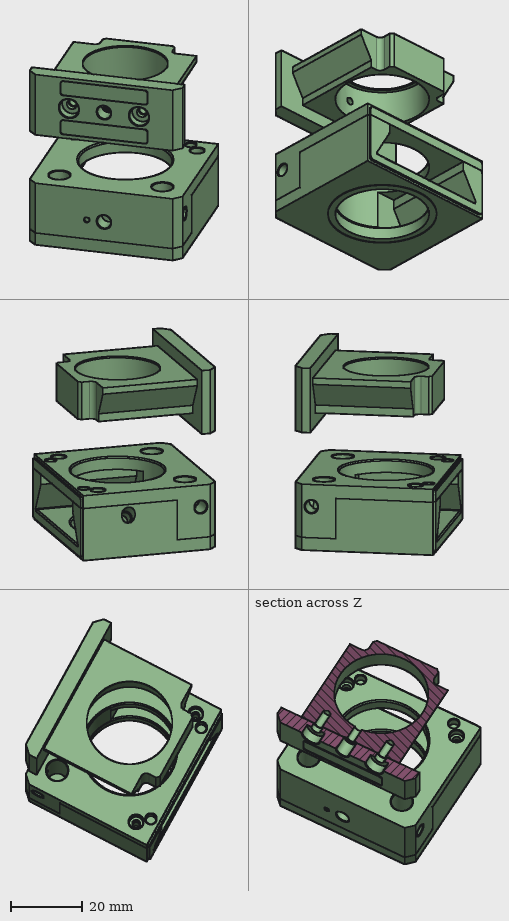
import cadquery as cq
import math

TOP = 26.3
BOTTOM = -26.3
WIDTH = 44.5
HALF_WIDTH = WIDTH / 2
FRONT_Y = -20.13
BORE_Y = 2.15
CORNER = 2.25
EDGE = 0.2
DRILL_POINT = 118.0

PLATE_THICK = 4.65
PLATE_HEIGHT = 18.6
PLATE_BACK_Y = FRONT_Y + PLATE_THICK
PLATE_Z = TOP - PLATE_HEIGHT / 2
LABEL_LENGTH = 25.35
LABEL_HEIGHT = 4.35
LABEL_DEPTH = 0.25
LABEL_RADIUS = 0.85
LABEL_OFFSET = 6.0
INSERT_SCREW_X = 10.2
INSERT_HEAD_D = 5.6
INSERT_HEAD_DEPTH = 2.95
INSERT_CLEAR_D = 2.85
INSERT_TAP_D = 2.25
INSERT_TAP_DEPTH = 4.75
KEY_D = 3.95
LOCK_MOUTH_D = 2.85
LOCK_D = 2.15

SLAB = 3.75
SLIDE_HEIGHT = 10.95
SLIDE_TOP = TOP - SLAB
SLIDE_BOTTOM = SLIDE_TOP - SLIDE_HEIGHT
SLIDE_HALF_WIDTH = 17.95
DOVETAIL_ANGLE = 30.0
WIDE_BAND = 1.85
FLANK_HEIGHT = 6.8
SLIDE_BACK_Y = 12.35
TAB_BACK_Y = 17.05
TAB_HALF_WIDTH = 10.5
TAB_CORNER = 0.85
TAB_ROOT_R = 1.6
OPTIC_LIP_D = 24.0
OPTIC_LIP_THICK = 0.45

HOLDER_TOP = -7.1
BOSS_HEIGHT = 0.2
BOSS_D = 30.5
HOLDER_BOTTOM = BOTTOM + BOSS_HEIGHT
HOLDER_BACK_Y = 19.5
LIP_BACK_Y = -FRONT_Y
LIP_HALF_WIDTH = 21.6
LIP_MARGIN = 0.8
LIP_TOP = HOLDER_TOP - LIP_MARGIN
LIP_BOTTOM = HOLDER_BOTTOM + LIP_MARGIN
LIP_RADIUS = 0.85
COVER_BOTTOM = HOLDER_TOP - SLAB
LEG_BOTTOM = -22.4
LEG_BACK_Y = -8.15
SLOT_LEAD = 0.4
BORE_D = 26.3
BORE_CHAMFER = 0.4
SLOT_CLEARANCE = 0.3
SLOT_BEVEL = 0.2

ROD_PITCH = 30.0
ROD_D = 6.0
ROD_DEPTH = HOLDER_TOP - LEG_BOTTOM
REAR_HOLE_D = 2.95
REAR_HOLE_Y = 17.0
REAR_HOLE_DEPTH = 2.65
JOIN_X = 17.75
JOIN_Y = 13.75
JOIN_HEAD_D = 3.95
JOIN_HEAD_DEPTH = 2.1
JOIN_CLEAR_D = 2.25
JOIN_TAP_D = 1.8
JOIN_TAP_DEPTH = 4.2
POST_Z = -16.65
POST_D = 3.95
POST_DEPTH = 4.75
INDEX_X = -5.05
INDEX_D = 1.6
INDEX_DEPTH = 0.5
ROD_LOCK_Y = -15.15
ROD_LOCK_Z = -13.45
ROD_LOCK_D = 3.6
ROD_LOCK_DEPTH = 6.85
CLAMP_Y = 6.2
CLAMP_Z = -13.9
CLAMP_D = 3.95
CLAMP_DEPTH = 3.35
CLAMP_TIP_D = 3.15
CLAMP_TIP_DEPTH = 6.3

X_AXIS = cq.Vector(1, 0, 0)
Y_AXIS = cq.Vector(0, 1, 0)
DOWN = cq.Vector(0, 0, -1)


def block(x_half, y_front, y_back, z_bottom, z_top):
    """Box centred on X = 0."""
    size = (2 * x_half, y_back - y_front, z_top - z_bottom)
    return cq.Workplane("XY").box(*size, centered=False).translate((-x_half, y_front, z_bottom))


def drill(mouth, direction, diameter, depth, pointed=False):
    """Cutter for a round hole, with an optional drill-point end."""
    radius = diameter / 2
    cutter = cq.Solid.makeCylinder(radius, depth, mouth, direction)
    if pointed:
        point = radius / math.tan(math.radians(DRILL_POINT / 2))
        cutter = cutter.fuse(cq.Solid.makeCone(radius, 0, point, mouth + direction * depth, direction))
    return cutter


def mouth_chamfer(mouth, direction, diameter, size=EDGE):
    """Cutter for a 45 degree chamfer round a hole's mouth."""
    return cq.Solid.makeCone(diameter / 2 + size, diameter / 2, size, mouth, direction)


def chamfered_hole(body, mouth, direction, diameter, depth, size=EDGE, pointed=False):
    body = body.cut(cq.Workplane(drill(mouth, direction, diameter, depth, pointed)))
    return body.cut(cq.Workplane(mouth_chamfer(mouth, direction, diameter, size)))


def plain_hole(body, mouth, direction, diameter, depth, pointed=False):
    return body.cut(cq.Workplane(drill(mouth, direction, diameter, depth, pointed)))


def make_label(side):
    """Inlay flush with the front plate, above (+1) or below (-1) its middle."""
    label = cq.Workplane("XY").box(LABEL_LENGTH, LABEL_DEPTH, LABEL_HEIGHT).edges("|Y").fillet(LABEL_RADIUS)
    return label.translate((0, FRONT_Y + LABEL_DEPTH / 2, PLATE_Z + side * LABEL_OFFSET))


def make_plate(labels):
    plate = block(HALF_WIDTH, FRONT_Y, PLATE_BACK_Y, TOP - PLATE_HEIGHT, TOP)
    plate = plate.edges("|Z and <Y").chamfer(CORNER)
    for label in labels:
        plate = plate.cut(label)
    for side in (-1, 1):
        mouth = cq.Vector(side * INSERT_SCREW_X, FRONT_Y, PLATE_Z)
        plate = chamfered_hole(plate, mouth, Y_AXIS, INSERT_HEAD_D, INSERT_HEAD_DEPTH)
        plate = plain_hole(plate, mouth, Y_AXIS, INSERT_CLEAR_D, PLATE_THICK)
    return chamfered_hole(plate, cq.Vector(0, FRONT_Y, PLATE_Z), Y_AXIS, KEY_D, PLATE_THICK)


def slide_block():
    """Slide before its flanks are cut: a slab whose rear end narrows to a tab."""
    x, tab = SLIDE_HALF_WIDTH, TAB_HALF_WIDTH
    points = [(-x, PLATE_BACK_Y), (x, PLATE_BACK_Y), (x, SLIDE_BACK_Y), (tab, SLIDE_BACK_Y)]
    points += [(tab, TAB_BACK_Y), (-tab, TAB_BACK_Y), (-tab, SLIDE_BACK_Y), (-x, SLIDE_BACK_Y)]
    plan = cq.Workplane("XY", origin=(0, 0, SLIDE_BOTTOM)).polyline(points).close()
    block_body = plan.extrude(SLIDE_HEIGHT)
    slide_middle_z = (SLIDE_TOP + SLIDE_BOTTOM) / 2
    for side in (-1, 1):
        root = cq.selectors.NearestToPointSelector((side * tab, SLIDE_BACK_Y, slide_middle_z))
        block_body = block_body.edges(root).fillet(TAB_ROOT_R)
    return block_body.edges("|Z and >Y").chamfer(TAB_CORNER)


def make_slide():
    slide = slide_block()
    flank_top = SLIDE_TOP - WIDE_BAND
    flank_bottom = flank_top - FLANK_HEIGHT
    narrow = SLIDE_HALF_WIDTH - FLANK_HEIGHT * math.tan(math.radians(DOVETAIL_ANGLE))
    right_side = [(narrow, SLIDE_BOTTOM), (narrow, flank_bottom), (SLIDE_HALF_WIDTH, flank_top)]
    right_side.append((SLIDE_HALF_WIDTH, SLIDE_TOP))
    left_side = [(-x, z) for x, z in reversed(right_side)]
    section = cq.Workplane("XZ", origin=(0, TAB_BACK_Y, 0)).polyline(right_side + left_side).close()
    slide = slide.intersect(section.extrude(TAB_BACK_Y - PLATE_BACK_Y))
    bore_mouth = cq.Vector(0, BORE_Y, SLIDE_TOP)
    slide = plain_hole(slide, bore_mouth, DOWN, OPTIC_LIP_D, SLIDE_HEIGHT)
    slide = plain_hole(slide, bore_mouth + DOWN * OPTIC_LIP_THICK, DOWN, BORE_D, SLIDE_HEIGHT)
    for side in (-1, 1):
        mouth = cq.Vector(side * INSERT_SCREW_X, PLATE_BACK_Y, PLATE_Z)
        slide = plain_hole(slide, mouth, Y_AXIS, INSERT_TAP_D, INSERT_TAP_DEPTH, pointed=True)
    mouth = cq.Vector(0, PLATE_BACK_Y, PLATE_Z)
    lock_chamfer = (LOCK_MOUTH_D - LOCK_D) / 2
    return chamfered_hole(slide, mouth, Y_AXIS, LOCK_D, BORE_Y - PLATE_BACK_Y, lock_chamfer)


def make_holder_blank():
    """Whole holder before it is split into cover and base: block, rear lip and boss."""
    blank = block(HALF_WIDTH, FRONT_Y, HOLDER_BACK_Y, HOLDER_BOTTOM, HOLDER_TOP)
    blank = blank.edges("|Z and <Y").chamfer(CORNER)
    lip = block(LIP_HALF_WIDTH, HOLDER_BACK_Y, LIP_BACK_Y, LIP_BOTTOM, LIP_TOP)
    blank = blank.union(lip.edges("|Y").fillet(LIP_RADIUS))
    boss = cq.Solid.makeCylinder(BOSS_D / 2, BOSS_HEIGHT, cq.Vector(0, BORE_Y, BOTTOM))
    blank = blank.union(cq.Workplane(boss))
    return plain_hole(blank, cq.Vector(0, BORE_Y, HOLDER_TOP), DOWN, BORE_D, HOLDER_TOP - BOTTOM)


def base_region():
    """Space under the cover and behind its front leg, plus the floor under both."""
    floor = block(HALF_WIDTH, FRONT_Y, LIP_BACK_Y, BOTTOM, LEG_BOTTOM)
    return floor.union(block(HALF_WIDTH, LEG_BACK_Y, LIP_BACK_Y, LEG_BOTTOM, COVER_BOTTOM))


def make_cover(blank):
    cover = blank.cut(base_region())
    bore_mouth = cq.Vector(0, BORE_Y, HOLDER_TOP)
    cover = cover.cut(cq.Workplane(mouth_chamfer(bore_mouth, DOWN, BORE_D, BORE_CHAMFER)))
    for side in (-1, 1):
        rod_x = side * ROD_PITCH / 2
        front_rod = cq.Vector(rod_x, BORE_Y - ROD_PITCH / 2, HOLDER_TOP)
        cover = chamfered_hole(cover, front_rod, DOWN, ROD_D, ROD_DEPTH)
        rear_hole = cq.Vector(rod_x, REAR_HOLE_Y, HOLDER_TOP)
        cover = chamfered_hole(cover, rear_hole, DOWN, REAR_HOLE_D, REAR_HOLE_DEPTH)
        join = cq.Vector(side * JOIN_X, JOIN_Y, HOLDER_TOP)
        cover = chamfered_hole(cover, join, DOWN, JOIN_HEAD_D, JOIN_HEAD_DEPTH)
        cover = plain_hole(cover, join, DOWN, JOIN_CLEAR_D, SLAB)
        rod_lock = cq.Vector(side * HALF_WIDTH, ROD_LOCK_Y, ROD_LOCK_Z)
        cover = chamfered_hole(cover, rod_lock, X_AXIS * -side, ROD_LOCK_D, ROD_LOCK_DEPTH, pointed=True)
    cover = chamfered_hole(cover, cq.Vector(0, FRONT_Y, POST_Z), Y_AXIS, POST_D, POST_DEPTH)
    return plain_hole(cover, cq.Vector(INDEX_X, FRONT_Y, POST_Z), Y_AXIS, INDEX_D, INDEX_DEPTH)


def slot_cutter():
    """Dovetail slot, widest at its floor, to take the slide turned over."""
    flank_slope = math.tan(math.radians(DOVETAIL_ANGLE))
    flank_bottom = LEG_BOTTOM + SLOT_BEVEL
    flank_top = LEG_BOTTOM + WIDE_BAND + FLANK_HEIGHT
    wide = SLIDE_HALF_WIDTH + SLOT_CLEARANCE + (WIDE_BAND - SLOT_BEVEL) * flank_slope
    narrow = wide - (flank_top - flank_bottom) * flank_slope
    right_side = [(wide - SLOT_BEVEL, LEG_BOTTOM), (wide, flank_bottom)]
    right_side += [(narrow, flank_top), (narrow, COVER_BOTTOM)]
    left_side = [(-x, z) for x, z in reversed(right_side)]
    section = cq.Workplane("XZ", origin=(0, LIP_BACK_Y, 0)).polyline(right_side + left_side).close()
    slot = section.extrude(LIP_BACK_Y - LEG_BACK_Y)
    edge_y, floor = LIP_BACK_Y - SLOT_LEAD, LEG_BOTTOM
    lead_points = [(edge_y, floor), (LIP_BACK_Y, floor), (LIP_BACK_Y, floor - SLOT_LEAD)]
    lead_half_width = wide - SLOT_BEVEL
    lead = cq.Workplane("YZ").polyline(lead_points).close().extrude(lead_half_width, both=True)
    return slot.union(lead)


def make_base(blank):
    base = blank.intersect(base_region()).cut(slot_cutter())
    floor_mouth = cq.Vector(0, BORE_Y, LEG_BOTTOM)
    base = base.cut(cq.Workplane(mouth_chamfer(floor_mouth, DOWN, BORE_D, BORE_CHAMFER)))
    for side in (-1, 1):
        mouth = cq.Vector(side * JOIN_X, JOIN_Y, COVER_BOTTOM)
        base = plain_hole(base, mouth, DOWN, JOIN_TAP_D, JOIN_TAP_DEPTH, pointed=True)
    return cut_clamp_hole(base)


def cut_clamp_hole(base):
    """Stepped hole through the -X wall, square to the slot's flank and sloping down to it."""
    tilt = math.radians(DOVETAIL_ANGLE)
    inward = cq.Vector(math.cos(tilt), 0, -math.sin(tilt))
    mouth = cq.Vector(-HALF_WIDTH, CLAMP_Y, CLAMP_Z)
    base = plain_hole(base, mouth - inward * CLAMP_D, inward, CLAMP_D, CLAMP_D + CLAMP_DEPTH)
    step = mouth + inward * CLAMP_DEPTH
    return plain_hole(base, step, inward, CLAMP_TIP_D, CLAMP_TIP_DEPTH)


labels = [make_label(side) for side in (-1, 1)]
plate = make_plate(labels)
slide = make_slide()
holder_blank = make_holder_blank()
cover = make_cover(holder_blank)
base = make_base(holder_blank)

result = cq.Compound.makeCompound([
    plate.val(), slide.val(), cover.val(), base.val(), *[label.val() for label in labels],
])